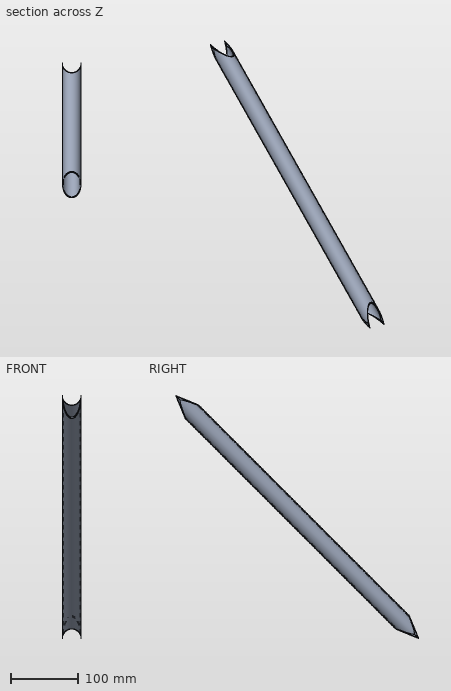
import cadquery as cq

span = 360.0
outer_diameter = 28.0
wall = 1.5

outer_radius = outer_diameter / 2
half_span = span / 2
blank_half_length = span
cope_half_length = 4 * outer_diameter


def cylinder_about(centre, direction, radius, half_length):
    """Solid cylinder extending half_length either way from its centre."""
    axis = cq.Vector(*direction).normalized()
    start = cq.Vector(*centre) - axis * half_length
    return cq.Workplane(cq.Solid.makeCylinder(radius, 2 * half_length, start, axis))


def tube():
    """Straight tube rising at 45 degrees towards -Y."""
    origin = (0, 0, 0)
    tilt = (0, -1, 1)
    outside = cylinder_about(origin, tilt, outer_radius, blank_half_length)
    bore = cylinder_about(origin, tilt, outer_radius - wall, blank_half_length)
    return outside.cut(bore)


def cope_end(body, end):
    """Fit one end against equal tubes along Y and Z; end is +1 at the top, -1 at the bottom."""
    node = (0, -end * half_span, end * half_span)
    for direction in ((0, 1, 0), (0, 0, 1)):
        body = body.cut(cylinder_about(node, direction, outer_radius, cope_half_length))
    return body


coped = cope_end(cope_end(tube(), 1), -1)

result = cq.Workplane(coped.solids(cq.selectors.NearestToPointSelector((0, 0, 0))).val())